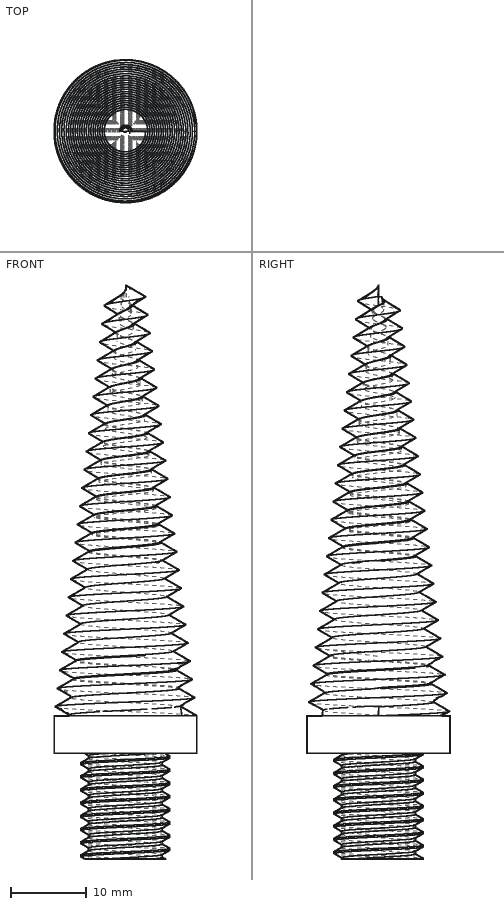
import cadquery as cq
import math

overall_height = 76.19
flank_slope = math.tan(math.radians(30))
root_overlap = 0.15

shank_length = 14.03
shank_core_radius = 9.84 / 2
shank_crest_radius = 11.83 / 2
shank_pitch = 1.75
shank_crest_flat = shank_pitch / 8
shank_crest_height = 0.75 * shank_pitch
shank_run_out_turns = 2

collar_radius = 19.0 / 2
collar_height = 5.0
collar_top = shank_length + collar_height

taper_turns = 23
taper_pitch = 2.42
taper_length = taper_turns * taper_pitch
taper_base_crest_radius = collar_radius
taper_tip_crest_radius = 2.67
taper_angle = math.atan((taper_base_crest_radius - taper_tip_crest_radius) / taper_length)
turn_gap = 0.02
core_base_radius = 7.5
core_tip_radius = 0.45

tip_turns = 0.5
tip_length = tip_turns * taper_pitch
tip_half_base = overall_height - collar_top - taper_length


def helix(radius, start, pitch, length, cone_angle):
    """A right-handed helix that starts on the +X side and narrows upwards by the cone angle."""
    base = cq.Vector(0, 0, start)
    if cone_angle == 0:
        return cq.Wire.makeHelix(pitch, length, radius, base)
    slant = 1 / math.cos(cone_angle)
    axis = cq.Vector(0, 0, 1)
    return cq.Wire.makeHelix(pitch * slant, length * slant, radius, base, axis, -math.degrees(cone_angle))


def thread_solid(profile, pitch, length, cone_angle=0):
    """A closed (radius, height) profile swept up a helix, with a flat face at each end."""
    edges = [helix(radius, height, pitch, length, cone_angle) for radius, height in profile]
    faces = [cq.Face.makeRuledSurface(edges[index - 1], edge) for index, edge in enumerate(edges)]
    for edge_end in (0, 1):
        corners = [edge.positionAt(edge_end) for edge in edges]
        faces.append(cq.Face.makeFromWires(cq.Wire.makePolygon(corners, close=True)))
    return cq.Workplane(cq.Solid.makeSolid(cq.Shell.makeShell(faces)).fix())


def cylinder(radius, bottom, height):
    return cq.Workplane("XY").workplane(offset=bottom).circle(radius).extrude(height)


def sharp_profile(crest_radius, crest_height, half_base):
    """A triangular thread section whose root side is sunk into the core."""
    root_radius = crest_radius - half_base / flank_slope
    inner_radius = root_radius - root_overlap
    return [
        (crest_radius, crest_height),
        (root_radius, crest_height + half_base),
        (inner_radius, crest_height + half_base),
        (inner_radius, crest_height - half_base),
        (root_radius, crest_height - half_base),
    ]


def truncated_profile(crest_radius, crest_height, crest_flat, root_radius):
    """A thread section with a flat crest, its root side sunk into the core."""
    half_crest = crest_flat / 2
    half_base = half_crest + (crest_radius - root_radius) * flank_slope
    inner_radius = root_radius - root_overlap
    return [
        (crest_radius, crest_height + half_crest),
        (root_radius, crest_height + half_base),
        (inner_radius, crest_height + half_base),
        (inner_radius, crest_height - half_base),
        (root_radius, crest_height - half_base),
        (crest_radius, crest_height - half_crest),
    ]


def threaded_shank():
    """The shank thread runs past both ends of the core and is trimmed to the shank's length."""
    turns = math.ceil(shank_length / shank_pitch) + 2 * shank_run_out_turns
    start = shank_crest_height - shank_run_out_turns * shank_pitch
    profile = truncated_profile(shank_crest_radius, start, shank_crest_flat, shank_core_radius)
    thread = thread_solid(profile, shank_pitch, turns * shank_pitch)
    thread = thread.intersect(cylinder(collar_radius, 0, shank_length))
    return cylinder(shank_core_radius, 0, shank_length).union(thread)


def tapered_screw():
    """The thread starts on the +X side with its lower half sunk below the collar's top face."""
    axis_base = cq.Vector(0, 0, collar_top)
    core = cq.Workplane(cq.Solid.makeCone(core_base_radius, core_tip_radius, taper_length, axis_base))
    profile = sharp_profile(taper_base_crest_radius, collar_top, (taper_pitch - turn_gap) / 2)
    thread = thread_solid(profile, taper_pitch, taper_length, taper_angle)
    thread = thread.intersect(cylinder(collar_radius, collar_top, overall_height))
    return core.union(thread)


def tip():
    """The last half turn, cut off square on the +X side and rising to the highest point."""
    crest_radius = taper_tip_crest_radius + tip_length * math.tan(taper_angle)
    crest_height = collar_top + taper_length - tip_length
    root_radius = crest_radius - tip_half_base / flank_slope
    profile = [
        (crest_radius, crest_height),
        (root_radius, crest_height + tip_half_base),
        (root_radius, crest_height - tip_half_base),
    ]
    half_turn = thread_solid(profile, taper_pitch, tip_length, taper_angle)
    return half_turn.rotate((0, 0, 0), (0, 0, 1), -360 * tip_turns)


collar = cylinder(collar_radius, shank_length, collar_height)
result = collar.union(threaded_shank()).union(tapered_screw()).union(tip())